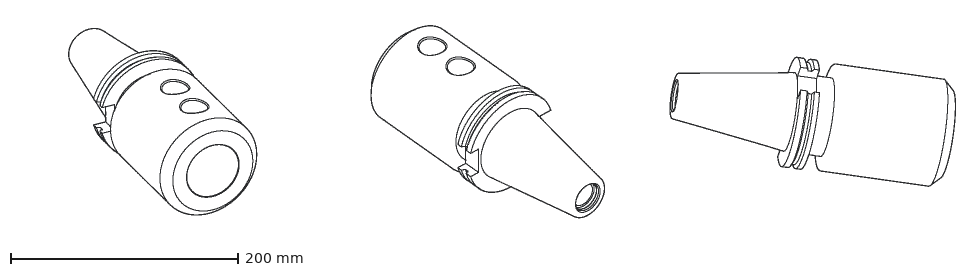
import cadquery as cq

total_length = 244.4
flange_start = 103.1
flange_width = 17.0
flange_end = flange_start + flange_width
body_start = 136.4

gauge_radius = 70.0 / 2
tip_radius = 20.3
tip_fillet_radius = 1.7

flange_radius = 97.3 / 2
groove_start = flange_start + 5.9
groove_top_width = 6.5
groove_depth = 3.2
groove_wall_run = 1.7
groove_end = groove_start + groove_top_width
groove_radius = flange_radius - groove_depth

slot_height = 26.0
slot_floor_front = 35.0
slot_floor_back = 37.6

body_radius = 95.3 / 2
rear_fillet_radius = 2.5
nose_bevel_length = 8.8
nose_radius = 39.3

through_diameter = 22.0
tip_bore_diameter = 26.0
tip_bore_depth = 6.4
tip_recess_diameter = 26.6
tip_recess_depth = 3.5
tip_bore_mouth = 28.8
tool_bore_diameter = 50.8
tool_bore_mouth = 51.8
tool_bore_start = 146.5

screw_hole_diameter = 23.5
screw_mouth_bevel = 1.2
first_screw_x = 170.0
screw_spacing = 37.9


def axial_cone(start_x, length, start_diameter, end_diameter):
    """Solid cone along the main axis."""
    return cq.Workplane("XY").polyline([
        (start_x, 0),
        (start_x, start_diameter / 2),
        (start_x + length, end_diameter / 2),
        (start_x + length, 0),
    ]).close().revolve(360, (0, 0, 0), (1, 0, 0))


def axial_cylinder(start_x, length, diameter):
    """Solid cylinder along the main axis."""
    return cq.Workplane("YZ", origin=(start_x, 0, 0)).circle(diameter / 2).extrude(length)


def turned_blank():
    """Taper, grooved flange, neck and body as one turned profile."""
    profile = [
        (0, 0),
        (0, tip_radius),
        (flange_start, gauge_radius),
        (flange_start, flange_radius),
        (groove_start, flange_radius),
        (groove_start + groove_wall_run, groove_radius),
        (groove_end - groove_wall_run, groove_radius),
        (groove_end, flange_radius),
        (flange_end, flange_radius),
        (flange_end, gauge_radius),
        (body_start, gauge_radius),
        (body_start, body_radius),
        (total_length - nose_bevel_length, body_radius),
        (total_length, nose_radius),
        (total_length, 0),
    ]
    blank = cq.Workplane("XY").polyline(profile).close().revolve(360, (0, 0, 0), (1, 0, 0))
    blank = blank.faces("<X").edges().fillet(tip_fillet_radius)
    reach = body_radius + 2.5
    rear_face_edges = cq.selectors.BoxSelector(
        (body_start - 0.2, -reach, -reach),
        (body_start + 0.2, reach, reach),
        boundingbox=True,
    )
    outermost = cq.selectors.RadiusNthSelector(-1)
    return blank.edges(rear_face_edges).edges(outermost).fillet(rear_fillet_radius)


def drive_slot(floor, side):
    """Block that cuts a flange slot on the +Y (side=1) or -Y (side=-1) side."""
    depth = flange_radius - floor
    center = (flange_start + flange_width / 2, side * (floor + depth / 2), 0)
    return cq.Workplane("XY").box(flange_width, depth, slot_height).translate(center)


def screw_hole(x):
    """Vertical screw hole from the bore axis through the top."""
    return cq.Workplane("XY", origin=(x, 0, 0)).circle(screw_hole_diameter / 2).extrude(body_radius)


result = turned_blank()

result = result.cut(drive_slot(slot_floor_front, -1))
result = result.cut(drive_slot(slot_floor_back, 1))

tip_bevel = (tip_bore_mouth - tip_recess_diameter) / 2
result = result.cut(axial_cylinder(0, total_length, through_diameter))
result = result.cut(axial_cylinder(0, tip_bore_depth, tip_bore_diameter))
result = result.cut(axial_cylinder(0, tip_recess_depth, tip_recess_diameter))
result = result.cut(axial_cone(0, tip_bevel, tip_bore_mouth, tip_recess_diameter))

mouth_bevel = (tool_bore_mouth - tool_bore_diameter) / 2
result = result.cut(axial_cylinder(tool_bore_start, total_length - tool_bore_start, tool_bore_diameter))
result = result.cut(
    axial_cone(total_length - mouth_bevel, mouth_bevel, tool_bore_diameter, tool_bore_mouth)
)

screw_positions = [first_screw_x, first_screw_x + screw_spacing]
for screw_x in screw_positions:
    result = result.cut(screw_hole(screw_x))

rim_reach = screw_hole_diameter / 2 + 0.5
for screw_x in screw_positions:
    rim = cq.selectors.BoxSelector(
        (screw_x - rim_reach, -rim_reach, body_radius - 2.5),
        (screw_x + rim_reach, rim_reach, body_radius + 2.5),
        boundingbox=True,
    )
    result = result.edges(rim).chamfer(screw_mouth_bevel)